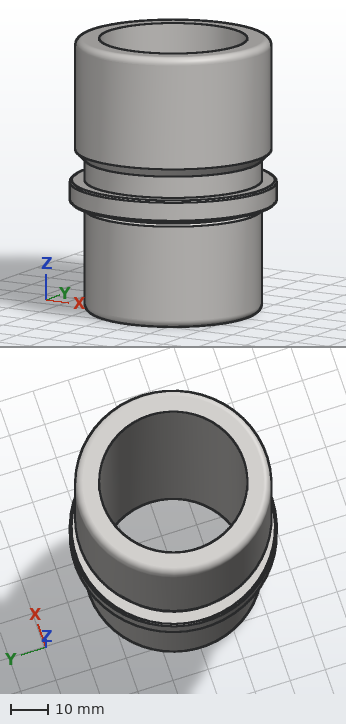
import cadquery as cq

total_height = 75.0
bore_radius = 20.0
body_radius = 24.0
head_radius = 26.55
flange_radius = 28.0
groove_radius = 23.4
end_fillet = 2.0

flange_bottom = 30.0
flange_thickness = 6.0
flange_chamfer = 0.5
groove_bottom = 28.8
groove_chamfer_height = 0.75
head_bottom = 41.85

flange_top = flange_bottom + flange_thickness

def cylinder(radius, bottom, top):
    """Solid cylinder on the Z axis between two heights."""
    return cq.Workplane("XY").workplane(offset=bottom).circle(radius).extrude(top - bottom)

def lower_body():
    """Lower spigot with a rounded bottom edge and a bevel into the groove."""
    spigot = cylinder(body_radius, 0, groove_bottom).faces("<Z").edges().fillet(end_fillet)
    groove_depth = body_radius - groove_radius
    return spigot.faces(">Z").edges().chamfer(groove_chamfer_height, groove_depth)

def flange():
    """Locating flange with both rims chamfered."""
    disc = cylinder(flange_radius, flange_bottom, flange_top)
    return disc.edges().chamfer(flange_chamfer)

def head():
    """Upper head with a conical underside and a rounded top edge."""
    cone_width = head_radius - body_radius
    block = cylinder(head_radius, head_bottom, total_height)
    block = block.faces("<Z").edges().chamfer(cone_width)
    return block.faces(">Z").edges().fillet(end_fillet)

groove_floor = cylinder(groove_radius, groove_bottom, flange_bottom)
neck = cylinder(body_radius, flange_top, head_bottom)
bore = cylinder(bore_radius, 0, total_height)

result = lower_body().union(groove_floor).union(flange()).union(neck).union(head()).cut(bore)